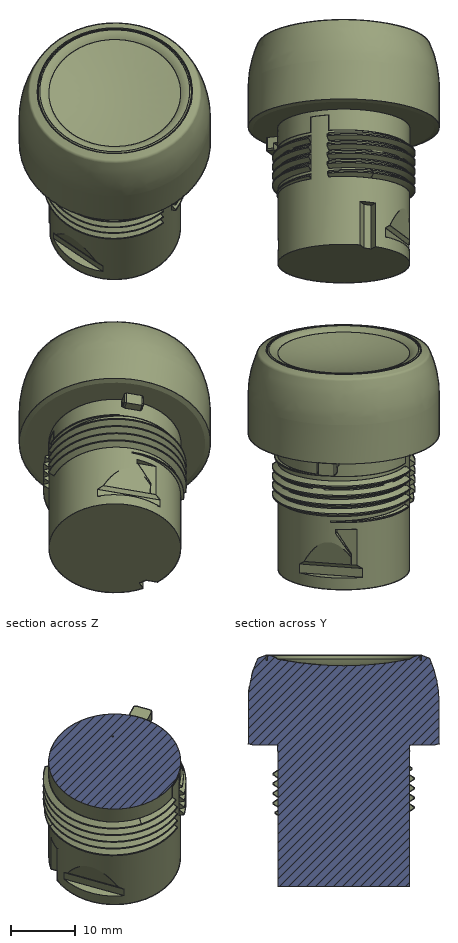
import cadquery as cq
import math

total_height = 35.82
head_radius = 14.8
head_bottom = 21.85
seat_radius = 14.0
skirt_bottom = 22.1
dome_start = 28.4
dome_top_radius = 13.4
dome_top = 35.15
rim_outer_radius = 13.0
rim_shoulder = 35.48
rim_inner_radius = 12.0

gap_depth = 0.8
button_radius = 11.85
button_edge_radius = 11.6
button_edge_height = 35.8
button_wall_top = 35.7
crown_height = 35.62
dish_radius = 10.2
dish_edge_height = 35.2
dish_depth = 1.0

barrel_radius = 10.2
collar_radius = 10.25
collar_bottom = 18.5
collar_overlap = 1.0

pitch = 1.5
thread_crest_radius = 11.05
thread_root_width = 1.3
thread_crest_width = 0.2
thread_embed = 0.1
thread_start_angle = -134.0
thread_start_height = 11.64
thread_sweep_angle = 1527.0
runout_angle = 135.0

keyway_width = 3.0
keyway_bottom = 10.0
keyway_top = 21.0

notch_flat = 8.9
notch_bottom = 1.92
notch_top = 3.35
ramp_start = 9.31
ramp_bottom = 3.96
ramp_top = 7.65

relief_floor = 9.3
relief_top = 9.83
relief_upper_x = -1.0
relief_slope_top = 9.2
relief_lower_x = -3.3
relief_slope_bottom = 5.75

slot_height = 7.05
slot_floor_radius = 8.8
slot_flat_y = -5.95
slot_radial_y = -7.86

hook_width = 3.0
hook_reach = 12.33
hook_inner = 11.07
hook_top = 21.34
arm_bottom = 20.35
hook_bottom = 19.28
hook_chamfer = 0.25

clearance = 2.0


def make_head():
    """Bezel and dished button as one revolved profile."""
    crown_radius = (button_edge_radius + dish_radius) / 2
    profile = (
        cq.Workplane("XZ")
        .moveTo(0, head_bottom)
        .lineTo(seat_radius, head_bottom)
        .lineTo(head_radius, skirt_bottom)
        .lineTo(head_radius, dome_start)
        .tangentArcPoint((dome_top_radius, dome_top), relative=False)
        .tangentArcPoint((rim_outer_radius, rim_shoulder), relative=False)
        .lineTo(rim_inner_radius, total_height)
        .lineTo(rim_inner_radius, total_height - gap_depth)
        .lineTo(button_radius, total_height - gap_depth)
        .lineTo(button_radius, button_wall_top)
        .lineTo(button_edge_radius, button_edge_height)
        .threePointArc((crown_radius, crown_height), (dish_radius, dish_edge_height))
    )
    sphere_radius = (dish_radius ** 2 + dish_depth ** 2) / (2 * dish_depth)
    mid_radius = dish_radius / 2
    dish_bottom = dish_edge_height - dish_depth
    mid_height = dish_bottom + sphere_radius - math.sqrt(sphere_radius ** 2 - mid_radius ** 2)
    profile = profile.threePointArc((mid_radius, mid_height), (0, dish_bottom)).close()
    return profile.revolve(360, (0, 0, 0), (0, 1, 0))


def make_barrel():
    """Plain barrel from the bottom face up to the head."""
    return cq.Workplane("XY").circle(barrel_radius).extrude(head_bottom)


def make_collar():
    """Slightly larger collar between the thread and the head."""
    return (
        cq.Workplane("XY", origin=(0, 0, collar_bottom))
        .circle(collar_radius)
        .circle(barrel_radius - collar_overlap)
        .extrude(head_bottom - collar_bottom)
    )


def sweep_thread(path, root_radius):
    """Sweep the trapezoidal thread section along a helix starting on the +X axis."""
    crest = root_radius + thread_crest_radius - barrel_radius
    inner = root_radius - thread_embed
    flank_slope = (thread_root_width - thread_crest_width) / 2 / (crest - root_radius)
    inner_half_width = thread_root_width / 2 + flank_slope * thread_embed
    crest_half_width = thread_crest_width / 2
    section = (
        cq.Workplane("XZ")
        .moveTo(inner, -inner_half_width)
        .lineTo(crest, -crest_half_width)
        .lineTo(crest, crest_half_width)
        .lineTo(inner, inner_half_width)
        .close()
    )
    return section.sweep(cq.Workplane(obj=path), isFrenet=True)


def make_runout():
    """Thread rising out of the barrel along a conical helix up to full depth."""
    depth = thread_crest_radius - barrel_radius
    rise = pitch * runout_angle / 360
    start_radius = barrel_radius - depth
    cone_angle = math.degrees(math.atan2(depth, rise))
    slope_length = math.hypot(depth, rise)
    slope_pitch = slope_length * 360 / runout_angle
    path = cq.Wire.makeHelix(slope_pitch, slope_length, start_radius, angle=cone_angle)
    runout = sweep_thread(path, start_radius)
    axis_start, axis_end = (0, 0, 0), (0, 0, 1)
    return runout.rotate(axis_start, axis_end, -runout_angle).translate((0, 0, -rise))


def make_thread():
    """Right-handed thread with a run-out at each end."""
    length = pitch * thread_sweep_angle / 360
    main = sweep_thread(cq.Wire.makeHelix(pitch, length, barrel_radius), barrel_radius)
    lower = make_runout()
    upper = (
        make_runout()
        .rotate((0, 0, 0), (1, 0, 0), 180)
        .rotate((0, 0, 0), (0, 0, 1), thread_sweep_angle)
        .translate((0, 0, length))
    )
    return [
        piece.rotate((0, 0, 0), (0, 0, 1), thread_start_angle).translate((0, 0, thread_start_height))
        for piece in (main, lower, upper)
    ]


def make_keyways():
    """Cutter for the opposite keyways along -X and +X."""
    outer = thread_crest_radius + clearance
    return (
        cq.Workplane("XY", origin=(0, 0, keyway_bottom))
        .rect(2 * outer, keyway_width)
        .extrude(keyway_top - keyway_bottom)
    )


def make_notch():
    """Cutter for the -Y latch notch: flat, chamfer and ramp."""
    outer = barrel_radius + clearance
    return (
        cq.Workplane("YZ")
        .moveTo(-outer, notch_bottom)
        .lineTo(-notch_flat, notch_bottom)
        .lineTo(-notch_flat, notch_top)
        .lineTo(-ramp_start, ramp_bottom)
        .lineTo(-barrel_radius, ramp_top)
        .lineTo(-outer, ramp_top)
        .close()
        .extrude(barrel_radius, both=True)
    )


def make_relief():
    """Cutter for the flat on the -X half of the +Y side, with a sloping side wall."""
    outer = barrel_radius + clearance
    return (
        cq.Workplane("XZ", origin=(0, outer, 0))
        .moveTo(-outer, ramp_bottom)
        .lineTo(relief_lower_x, ramp_bottom)
        .lineTo(relief_lower_x, relief_slope_bottom)
        .lineTo(relief_upper_x, relief_slope_top)
        .lineTo(relief_upper_x, relief_top)
        .lineTo(-outer, relief_top)
        .close()
        .extrude(outer - relief_floor)
    )


def make_slot():
    """Cutter for the coding slot: one wall along X, one radial, round floor."""
    outer = barrel_radius + clearance
    radial_x = -math.sqrt(barrel_radius ** 2 - slot_radial_y ** 2)
    outward = outer / barrel_radius
    inward = slot_floor_radius / 2 / barrel_radius
    wedge = (
        cq.Workplane("XY")
        .moveTo(-outer, slot_flat_y)
        .lineTo(radial_x * inward, slot_flat_y)
        .lineTo(radial_x * inward, slot_radial_y * inward)
        .lineTo(radial_x * outward, slot_radial_y * outward)
        .close()
        .extrude(slot_height)
    )
    core = cq.Workplane("XY").circle(slot_floor_radius).extrude(slot_height)
    return wedge.cut(core)


def make_hook():
    """L-shaped hook standing out of the collar on +Y."""
    hook = (
        cq.Workplane("YZ")
        .moveTo(barrel_radius - clearance, hook_top)
        .lineTo(hook_reach, hook_top)
        .lineTo(hook_reach, hook_bottom)
        .lineTo(hook_inner, hook_bottom)
        .lineTo(hook_inner, arm_bottom)
        .lineTo(barrel_radius - clearance, arm_bottom)
        .close()
        .extrude(hook_width / 2, both=True)
    )
    return hook.faces(">Y or <Z").edges("|Y or |Z").chamfer(hook_chamfer)


keyways = make_keyways()
body = make_barrel()
for thread_piece in make_thread():
    body = body.union(thread_piece.cut(keyways))
notch = make_notch()
body = body.cut(notch).cut(notch.mirror("XZ"))
body = body.cut(make_relief()).cut(make_slot())
upper_part = make_head().union(make_collar().cut(keyways)).union(make_hook())
result = body.union(upper_part)